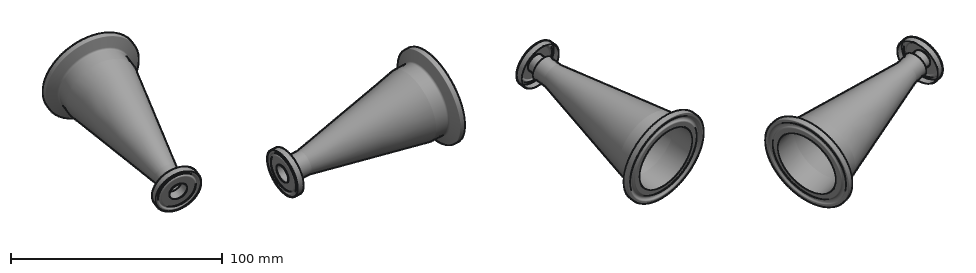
import cadquery as cq
import math


length = 88.9
tube_end = 12.6
cone_start = tube_end
cone_end = length - tube_end

large_bore = 34.8
large_tube = 38.1
small_bore = 9.4
small_tube = 12.7

large_flange = 50.4
large_rim = 2.9
flange_taper = 20.0
large_edge_round = 0.3
large_fillet = 1.2
large_groove_radius = 22.0

small_flange = 25.0
small_rim = 3.7
small_wall = 0.4
small_edge_round = small_wall
small_groove_radius = 10.1
neck = 9.6
tube_stop = 83.3
small_fillet = 0.5

groove_slope = math.radians(65)
large_lip, large_bottom = 0.7, 1.3
small_lip, small_bottom = 0.7, 0.5


def add_groove(path, face_x, inward, middle, lip, bottom, side):
    """Draw a groove section across a flat face, from `side` (-1 inside, +1 outside) to the other side.

    `inward` is the X direction in which the groove sinks.
    """
    half_width = (lip + bottom) * math.sin(groove_slope)
    depth = (lip + bottom) * (1 - math.cos(groove_slope))

    def lip_point(edge, angle):
        x = face_x + inward * lip * (1 - math.cos(angle))
        return x, middle + edge * (half_width - lip * math.sin(angle))

    return (
        path.lineTo(*lip_point(side, 0))
        .threePointArc(lip_point(side, groove_slope / 2), lip_point(side, groove_slope))
        .threePointArc((face_x + inward * depth, middle), lip_point(-side, groove_slope))
        .threePointArc(lip_point(-side, groove_slope / 2), lip_point(-side, 0))
    )


def round_corner(path, corner, along, away, radius):
    """Round a sharp `corner`, reached in unit direction `along` and left in unit direction `away`."""
    turn = math.acos(along[0] * away[0] + along[1] * away[1])
    tangent = radius * math.tan(turn / 2)
    bisector = math.hypot(away[0] - along[0], away[1] - along[1])
    gap = radius / math.cos(turn / 2) - radius

    start = [c - tangent * a for c, a in zip(corner, along)]
    middle = [c + gap * (b - a) / bisector for c, a, b in zip(corner, along, away)]
    end = [c + tangent * b for c, b in zip(corner, away)]
    return path.lineTo(*start).threePointArc(middle, end)


def make_profile():
    """Half section of the part, X along the axis and Y as the radius."""
    large_radius = large_flange / 2
    small_radius = small_flange / 2
    cup_start = length - small_rim
    cup_floor = length - small_wall

    path = (
        cq.Workplane("XY")
        .moveTo(0, large_bore / 2)
        .lineTo(cone_start, large_bore / 2)
        .lineTo(cone_end, small_bore / 2)
        .lineTo(length, small_bore / 2)
    )
    path = add_groove(path, length, -1, small_groove_radius, small_lip, small_bottom, -1)
    path = round_corner(path, (length, small_radius), (0, 1), (-1, 0), small_edge_round)
    path = round_corner(path, (cup_start, small_radius), (-1, 0), (0, -1), small_edge_round)

    path = path.lineTo(cup_floor, small_radius - small_wall)
    path = add_groove(
        path, cup_floor, -1, small_groove_radius, small_lip - small_wall, small_bottom + small_wall, 1
    )
    path = path.lineTo(cup_floor, neck / 2).lineTo(tube_stop, neck / 2)

    flare_turn = math.radians(90 - flange_taper)
    flare_start = tube_stop - small_fillet * math.sin(flare_turn)

    def flare_point(angle):
        x = flare_start + small_fillet * math.sin(angle)
        return x, small_tube / 2 + small_fillet * (1 - math.cos(angle))

    path = (
        path.lineTo(*flare_point(flare_turn))
        .threePointArc(flare_point(flare_turn / 2), flare_point(0))
        .lineTo(cone_end, small_tube / 2)
        .lineTo(cone_start, large_tube / 2)
    )

    taper = math.radians(flange_taper)
    up_the_back = (-math.sin(taper), math.cos(taper))
    back_foot = large_rim + (large_radius - large_tube / 2) * math.tan(taper)
    path = round_corner(path, (back_foot, large_tube / 2), (-1, 0), up_the_back, large_fillet)
    path = round_corner(path, (large_rim, large_radius), up_the_back, (-1, 0), large_edge_round)
    path = round_corner(path, (0, large_radius), (-1, 0), (0, -1), large_edge_round)
    path = add_groove(path, 0, 1, large_groove_radius, large_lip, large_bottom, 1)
    return path.close()


result = make_profile().revolve(360, (0, 0, 0), (1, 0, 0))